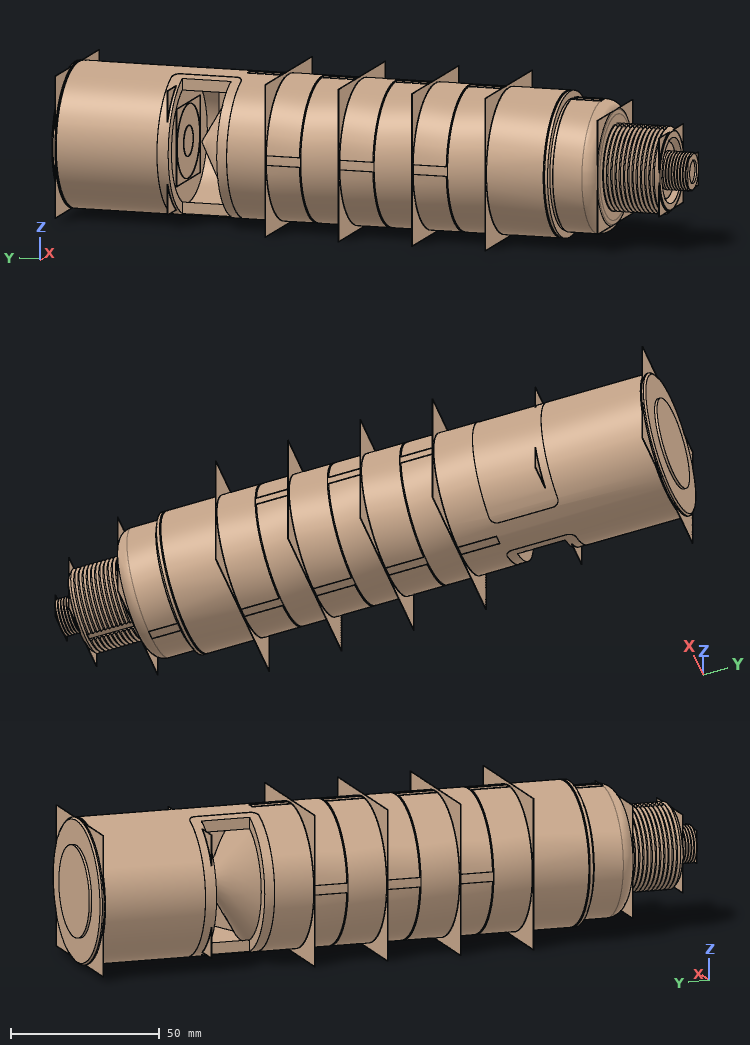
import cadquery as cq
import math


length = 219.2
tower_radius = 25.0
tower_bottom = 43.5
joint_groove_depth = 0.2
joint_groove_width = 0.5

module_count = 3
module_pitch = 25.9
module_start = 64.9
collar_height = 13.8
tick_width = 3.3
tick_depth = 0.2

cap_bottom = 217.0
cap_height = 1.3
cap_chamfer = 0.7
disc_radius = 15.8
frame_bottom = 156.5
frame_top = 181.0
frame_inset = 6.4
frame_depth = 0.1
frame_corner = 2.6
window_bottom = 160.0
window_top = 177.0
window_depth_plane = 9.2
chamber_radius = 21.3
chamber_top = 178.0
cone_height = 13.2
ramp_top = 171.5
ramp_top_offset = 13.8
ramp_bottom_offset = 7.7
speaker_plate_size = 26.5
speaker_opening_radius = 12.7
speaker_hub_radius = 5.3

base_radius = 22.8
base_bottom = 27.2
base_rounding = 4.8
neck_height = 1.0
neck_depth = 0.5
rim_height = 1.0
stem_radius = 15.0
stem_bottom = 7.5
stem_chamfer = 1.5
stem_pitch = 1.5
stem_thread_depth = 0.9
keyway_width = 2.6
keyway_depth = 1.3
keyway_bottom = 9.6
recess_mouth_radius = 11.2
recess_floor_radius = 9.6
recess_depth = 1.8

connector_radius = 6.5
connector_seat = 4.4
connector_pitch = 1.0
connector_thread_depth = 0.61
connector_chamfer = 0.5
contact_recess_radius = 4.0
contact_recess_depth = 0.7

plate_thickness = 0.2
module_plate_width = 52.0
module_plate_height = 52.2
cap_plate_size = 48.7
sounder_plate_width = 45.0
sounder_plate_height = 42.5
base_plate_size = 39.0
stem_plate_size = 27.0
connector_plate_size = 11.5

recess_floor = stem_bottom + recess_depth
connector_top = recess_floor + connector_seat
module_bottoms = [module_start + i * module_pitch for i in range(module_count)]
module_end = module_start + module_count * module_pitch
module_joints = [*module_bottoms, module_end]


def rod(radius, y_start, y_end):
    """Cylinder on the tower axis."""
    return cq.Workplane("XZ", origin=(0, y_start, 0)).circle(radius).extrude(y_start - y_end)


def ring(outer, inner, y_start, y_end):
    """Hollow cylinder on the tower axis."""
    return rod(outer, y_start, y_end).cut(rod(inner, y_start, y_end))


def taper(start_radius, end_radius, y_start, y_end):
    """Cone or truncated cone on the tower axis."""
    return cq.Workplane(
        cq.Solid.makeCone(
            start_radius, end_radius, y_end - y_start, cq.Vector(0, y_start, 0), cq.Vector(0, 1, 0)
        )
    )


def block(x_range, y_range, z_range):
    """Box between the given limits."""
    (x0, x1), (y0, y1), (z0, z1) = x_range, y_range, z_range
    return cq.Workplane(cq.Solid.makeBox(x1 - x0, y1 - y0, z1 - z0, cq.Vector(x0, y0, z0)))


def plate(width, height, y_start):
    """Thin rectangular plate across the tower axis."""
    return block(
        (-width / 2, width / 2), (y_start, y_start + plate_thickness), (-height / 2, height / 2)
    )


def threaded_rod(radius, y_start, y_end, thread_top, pitch, depth, chamfer):
    """Rod with a chamfered lower end and V-shaped thread ridges from the chamfer to thread_top."""
    thread_bottom = y_start + chamfer
    ridges = math.floor((thread_top - thread_bottom) / pitch)
    points = [(0, y_start), (radius - chamfer, y_start), (radius, thread_bottom)]
    for i in range(ridges):
        points.append((radius - depth, thread_bottom + (i + 0.5) * pitch))
        points.append((radius, thread_bottom + (i + 1) * pitch))
    points += [(radius, y_end), (0, y_end)]
    return cq.Workplane("XY").polyline(points).close().revolve(360, (0, 0, 0), (0, 1, 0))


def make_tower_blank():
    """Plain tower with its chamfered cap and end disc."""
    blank = rod(tower_radius, tower_bottom, cap_bottom)
    cap = rod(tower_radius, cap_bottom, cap_bottom + cap_height).faces(">Y").chamfer(cap_chamfer)
    disc = rod(disc_radius, cap_bottom + cap_height, length)
    return blank.union(cap).union(disc)


def make_joint_grooves():
    """Fine grooves at the lens-to-collar joints, under the cap and above the bottom rim."""
    joints = [y + collar_height for y in module_bottoms]
    joints += [cap_bottom - joint_groove_width, tower_bottom + rim_height]
    grooves = cq.Workplane("XY")
    for y in joints:
        inner = tower_radius - joint_groove_depth
        grooves = grooves.add(ring(tower_radius, inner, y, y + joint_groove_width))
    return grooves.combine()


def make_tick_pair(y_start, y_end, radius, across_x):
    """Two opposite alignment marks, on the X sides or on the Z sides."""
    mark = (-tick_width / 2, tick_width / 2)
    full = (-radius, radius)
    x_range, z_range = (full, mark) if across_x else (mark, full)
    shell = ring(radius, radius - tick_depth, y_start, y_end)
    return shell.intersect(block(x_range, (y_start, y_end), z_range))


def cut_ticks(body):
    """Marks on the collars and the lens rings."""
    for y in module_bottoms:
        joint = y + collar_height
        body = body.cut(make_tick_pair(y, joint, tower_radius, False))
        body = body.cut(make_tick_pair(joint, y + module_pitch, tower_radius, True))
    return body.cut(make_tick_pair(module_end, frame_bottom, tower_radius, False))


def make_window_frames():
    """Shallow rounded frames round the sound window and on the opposite side."""
    frame_width = tower_radius - frame_inset
    frames = cq.Workplane("XY")
    for side in (-1, 1):
        frame = (
            cq.Workplane("XY")
            .box(2 * frame_width, frame_top - frame_bottom, 2 * tower_radius)
            .edges("|Z")
            .fillet(frame_corner)
            .translate((side * tower_radius, (frame_top + frame_bottom) / 2, 0))
        )
        shell = ring(tower_radius, tower_radius - frame_depth, frame_bottom, frame_top)
        frames = frames.add(shell.intersect(frame))
    return frames


def make_sound_chamber():
    """Round chamber with a cone on its floor, open to -X through the window."""
    chamber = rod(chamber_radius, window_bottom, chamber_top)
    window = block(
        (-tower_radius, -window_depth_plane), (window_bottom, window_top), (-tower_radius, tower_radius)
    )
    cone = taper(chamber_radius, 0, window_bottom, window_bottom + cone_height)
    return chamber.union(window).cut(cone).cut(make_rear_ramp())


def make_rear_ramp():
    """Sloping wall on the +X side of the chamber, behind the cone."""
    outline = [
        (ramp_bottom_offset, window_bottom),
        (tower_radius, window_bottom),
        (tower_radius, ramp_top),
        (ramp_top_offset, ramp_top),
    ]
    return cq.Workplane("XY").polyline(outline).close().extrude(tower_radius, both=True)


def make_speaker():
    """Square plate under the chamber ceiling with a round opening and a central hub."""
    y_bottom = chamber_top - plate_thickness
    opening = ring(speaker_opening_radius, speaker_hub_radius, y_bottom, chamber_top)
    return plate(speaker_plate_size, speaker_plate_size, y_bottom).cut(opening)


def make_base():
    """Round base with a rounded lower edge, a narrow neck groove and alignment marks."""
    base = rod(base_radius, base_bottom, tower_bottom).faces("<Y").edges().fillet(base_rounding)
    neck = ring(base_radius, base_radius - neck_depth, tower_bottom - neck_height, tower_bottom)
    ticks = make_tick_pair(base_bottom + base_rounding, tower_bottom, base_radius, False)
    return base.cut(neck).cut(ticks)


def make_stem():
    """Threaded stem with a keyway on its top and bottom."""
    stem = threaded_rod(
        stem_radius, stem_bottom, base_bottom, base_bottom, stem_pitch, stem_thread_depth, stem_chamfer
    )
    half_width = keyway_width / 2
    floor = stem_radius - keyway_depth
    for z_range in ((floor, stem_radius), (-stem_radius, -floor)):
        stem = stem.cut(block((-half_width, half_width), (keyway_bottom, base_bottom), z_range))
    return stem


def make_housing():
    """Tower, base, stem and plates in one piece, with a socket for the connector."""
    body = make_tower_blank().cut(make_joint_grooves())
    body = cut_ticks(body)
    for frame in make_window_frames().vals():
        body = body.cut(cq.Workplane(frame))
    body = body.cut(make_sound_chamber())
    body = body.union(make_base()).union(make_stem())
    for y in module_joints:
        body = body.union(plate(module_plate_width, module_plate_height, y))
    body = body.union(plate(sounder_plate_width, sounder_plate_height, chamber_top))
    body = body.union(make_speaker())
    body = body.union(plate(cap_plate_size, cap_plate_size, cap_bottom))
    body = body.union(plate(base_plate_size, base_plate_size, base_bottom + plate_thickness))
    body = body.union(plate(stem_plate_size, stem_plate_size, stem_bottom + plate_thickness))
    body = body.cut(taper(recess_mouth_radius, recess_floor_radius, stem_bottom, recess_floor))
    return body.cut(rod(connector_radius, recess_floor, connector_top))


def make_connector():
    """Threaded plug connector with a recessed contact face and an end plate."""
    plug = threaded_rod(
        connector_radius, 0, connector_top, recess_floor,
        connector_pitch, connector_thread_depth, connector_chamfer,
    )
    plug = plug.union(plate(connector_plate_size, connector_plate_size, 0))
    return plug.cut(rod(contact_recess_radius, 0, contact_recess_depth))


housing = make_housing()
connector = make_connector()
result = cq.Compound.makeCompound([housing.val(), connector.val()])